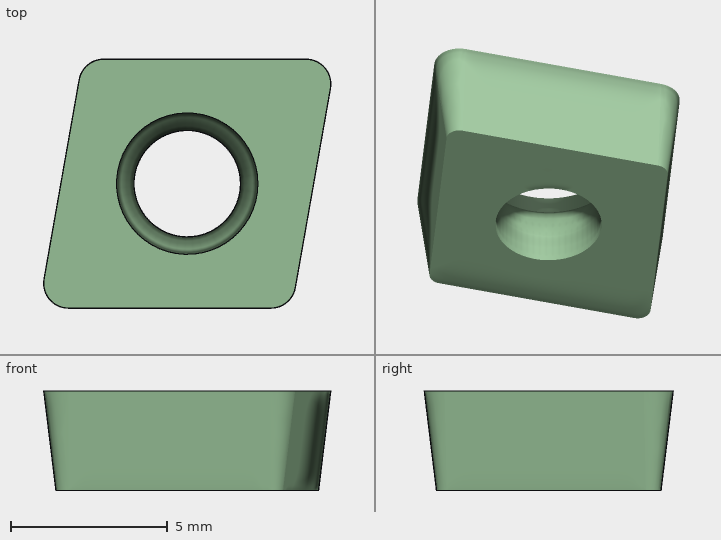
import cadquery as cq
import math

inscribed_diameter = 7.94
thickness = 3.18
corner_angle = 80.0
corner_radius = 0.8
relief_angle = 7.0

mouth_diameter = 4.51
throat_diameter = 3.39
mouth_depth = 0.6
seat_end_depth = 2.13


def make_body():
    """Rounded rhombus, widest at the top face and narrowing downward."""
    half_height = inscribed_diameter / 2
    half_angle = math.radians(corner_angle / 2)
    acute_x = half_height / math.tan(half_angle)
    obtuse_x = half_height * math.tan(half_angle)
    outline = (
        cq.Sketch()
        .polygon([
            (-acute_x, -half_height),
            (obtuse_x, -half_height),
            (acute_x, half_height),
            (-obtuse_x, half_height),
            (-acute_x, -half_height),
        ])
        .vertices()
        .fillet(corner_radius)
    )
    return (
        cq.Workplane("XY", origin=(0, 0, thickness))
        .placeSketch(outline)
        .extrude(-thickness, taper=relief_angle)
    )


def make_screw_hole():
    """Revolved cutter whose convex seat runs tangentially into the throat."""
    mouth_radius = mouth_diameter / 2
    throat_radius = throat_diameter / 2
    seat_top = thickness - mouth_depth
    seat_bottom = thickness - seat_end_depth
    return (
        cq.Workplane("XZ")
        .moveTo(0, 0)
        .lineTo(throat_radius, 0)
        .lineTo(throat_radius, seat_bottom)
        .tangentArcPoint((mouth_radius, seat_top), relative=False)
        .lineTo(mouth_radius, thickness)
        .lineTo(0, thickness)
        .close()
        .revolve(360, (0, 0, 0), (0, 1, 0))
    )


result = make_body().cut(make_screw_hole())